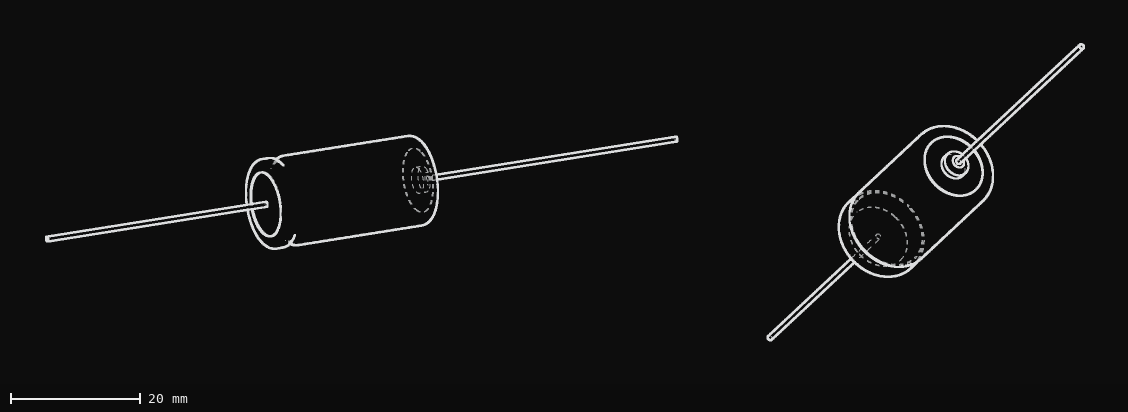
import cadquery as cq
import math

total_length = 109.5
case_diameter = 14.0
case_length = 26.6
case_front_y = -16.8
case_back_y = case_front_y + case_length
case_radius = case_diameter / 2

rim_fillet = 0.7
groove_distance = 3.1
groove_width = 2.2
groove_depth = 0.7
groove_fillet = 0.3
edge_margin = 0.1
groove_y = case_front_y + groove_distance
groove_arc_radius = ((groove_width / 2) ** 2 + groove_depth**2) / (2 * groove_depth)
groove_center_radius = case_radius - groove_depth + groove_arc_radius

sleeve_wall = 0.16
sleeve_opening_diameter = 10.0

lead_diameter = 0.8
boss_diameter = 4.0
boss_tip_diameter = 2.0
boss_height = 1.0
boss_cone_height = 0.7


def cylinder(diameter, start_y, end_y):
    """Cylinder on the Y axis between two Y positions."""
    return (
        cq.Workplane("XZ", origin=(0, start_y, 0))
        .circle(diameter / 2)
        .extrude(start_y - end_y)
    )


def make_can(inset):
    """Grooved can with rounded rims, set in from the outer surface by the inset."""
    radius = case_radius - inset
    front_y = case_front_y + inset
    back_y = case_back_y - inset
    arc_radius = groove_arc_radius + inset
    half_width = math.sqrt(arc_radius**2 - (groove_center_radius - radius) ** 2)
    can = (
        cq.Workplane("XY")
        .moveTo(0, front_y)
        .lineTo(radius, front_y)
        .lineTo(radius, groove_y - half_width)
        .threePointArc(
            (groove_center_radius - arc_radius, groove_y),
            (radius, groove_y + half_width),
        )
        .lineTo(radius, back_y)
        .lineTo(0, back_y)
        .close()
        .revolve(360, (0, 0, 0), (0, 1, 0))
    )
    can = can.faces("<Y or >Y").edges().fillet(rim_fillet - inset)
    reach_y = half_width + edge_margin
    groove_zone = cq.selectors.BoxSelector(
        (-case_diameter, groove_y - reach_y, -case_diameter),
        (case_diameter, groove_y + reach_y, case_diameter),
    )
    return can.edges(groove_zone).fillet(groove_fillet - inset)


def make_sleeve():
    """Thin sleeve that follows the can and curls over both ends, leaving round openings."""
    opening = cylinder(sleeve_opening_diameter, case_front_y, case_back_y)
    return make_can(0).cut(make_can(sleeve_wall)).cut(opening)


def make_core():
    """Can inside the sleeve, in one piece with the boss and both leads."""
    can = make_can(sleeve_wall)
    boss_start_y = case_back_y - sleeve_wall
    boss_end_y = case_back_y + boss_height
    boss = cylinder(boss_diameter, boss_start_y, boss_end_y)
    cone = (
        cq.Workplane("XZ", origin=(0, boss_end_y, 0))
        .circle(boss_diameter / 2)
        .workplane(offset=-boss_cone_height)
        .circle(boss_tip_diameter / 2)
        .loft()
    )
    lead = cylinder(lead_diameter, -total_length / 2, total_length / 2)
    return can.union(boss).union(cone).union(lead)


sleeve = make_sleeve()
core = make_core()
result = cq.Compound.makeCompound([sleeve.val(), core.val()])